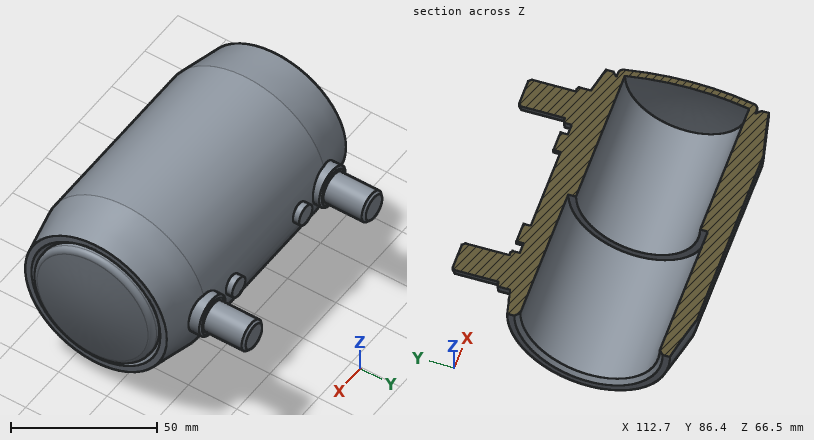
import cadquery as cq
import math

sleeve_length = 108.5
sleeve_diameter = 66.5
end_diameter = 58.6
taper_length = 17.9
bore_diameter = 50.0
lead_in_diameter = 53.3
lead_in_length = (lead_in_diameter - bore_diameter) / 2

overall_length = 112.7
plug_bore_diameter = 44.5
dome_diameter = 45.9
dome_rise = 2.1
plug_wall = (bore_diameter - plug_bore_diameter) / 2
plug_corner = (bore_diameter - dome_diameter) / 2

terminal_tip = 53.1
terminal_diameter = 12.0
terminal_chamfer = 1.0
collar_diameter = 16.0
collar_top = 36.3
collar_chamfer_height = 0.5
collar_chamfer_width = 1.0

indicator_diameter = 8.0
indicator_top = 35.8
indicator_spacing = 40.6

sleeve_radius = sleeve_diameter / 2
end_radius = end_diameter / 2
bore_radius = bore_diameter / 2
lead_in_radius = lead_in_diameter / 2
middle = sleeve_length / 2
boss_root = (bore_radius + end_radius) / 2


def revolve_about_x(profile):
    return profile.close().revolve(360, (0, 0, 0), (1, 0, 0))


def make_sleeve():
    return revolve_about_x(
        cq.Workplane("XY")
        .moveTo(0, lead_in_radius)
        .lineTo(0, end_radius)
        .lineTo(taper_length, sleeve_radius)
        .lineTo(sleeve_length - taper_length, sleeve_radius)
        .lineTo(sleeve_length, end_radius)
        .lineTo(sleeve_length, lead_in_radius)
        .lineTo(sleeve_length - lead_in_length, bore_radius)
        .lineTo(lead_in_length, bore_radius)
    )


def make_plug():
    dome_edge_radius = dome_diameter / 2
    dome_edge_x = overall_length - dome_rise
    dome_radius = (dome_edge_radius**2 + dome_rise**2) / (2 * dome_rise)
    dome_center_x = overall_length - dome_radius

    inner_radius = dome_radius - plug_wall
    plug_bore_radius = plug_bore_diameter / 2

    def dome_x(sphere_radius, distance_from_axis):
        return dome_center_x + math.sqrt(sphere_radius**2 - distance_from_axis**2)

    corner_mid = plug_corner * math.sqrt(0.5)
    return revolve_about_x(
        cq.Workplane("XY")
        .moveTo(middle, plug_bore_radius)
        .lineTo(middle, bore_radius)
        .lineTo(dome_edge_x - plug_corner, bore_radius)
        .threePointArc(
            (dome_edge_x - plug_corner + corner_mid, dome_edge_radius + corner_mid),
            (dome_edge_x, dome_edge_radius),
        )
        .threePointArc(
            (dome_x(dome_radius, dome_edge_radius / 2), dome_edge_radius / 2),
            (overall_length, 0),
        )
        .lineTo(overall_length - plug_wall, 0)
        .threePointArc(
            (dome_x(inner_radius, plug_bore_radius / 2), plug_bore_radius / 2),
            (dome_x(inner_radius, plug_bore_radius), plug_bore_radius),
        )
    )


def make_boss(x, diameter, top):
    """Round boss standing on the +Y side of the sleeve."""
    return (
        cq.Workplane("XZ", origin=(x, boss_root, 0))
        .circle(diameter / 2)
        .extrude(boss_root - top)
    )


def make_terminal(x):
    collar = make_boss(x, collar_diameter, collar_top)
    collar = collar.faces(">Y").edges().chamfer(collar_chamfer_height, collar_chamfer_width)
    pin = make_boss(x, terminal_diameter, terminal_tip).faces(">Y").chamfer(terminal_chamfer)
    return collar.union(pin)


result = make_sleeve().union(make_plug())
for side in (-1, 1):
    result = result.union(make_terminal(middle + side * (middle - taper_length)))
    result = result.union(make_boss(middle + side * indicator_spacing / 2, indicator_diameter, indicator_top))